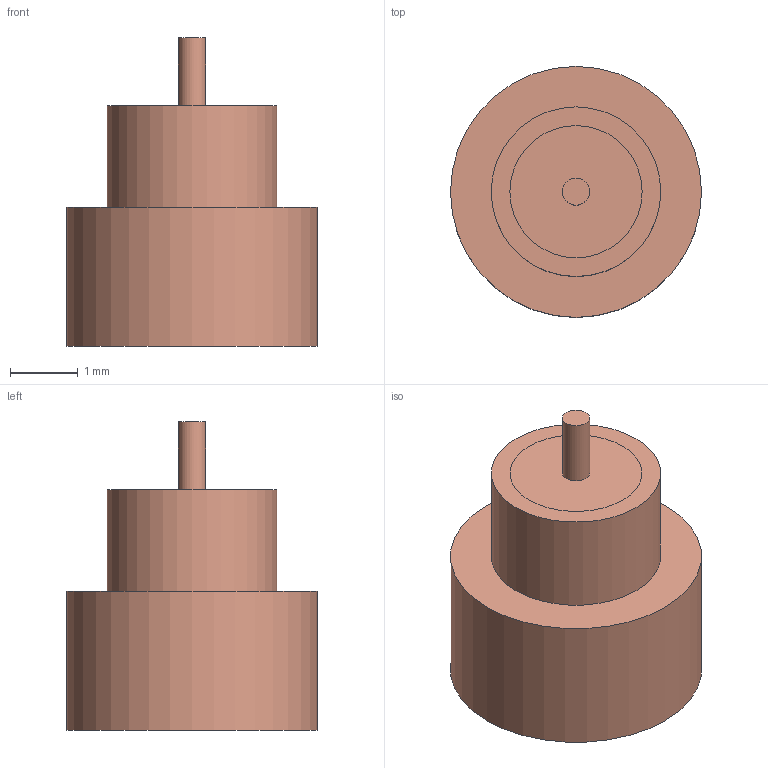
import cadquery as cq

base_diameter = 3.7
collar_diameter = 2.5
core_diameter = 1.95
pin_diameter = 0.4

base_height = 2.05
collar_height = 1.5
pin_length = 1.0

collar_top = base_height + collar_height


def cylinder(diameter, bottom, height):
    """Upright cylinder on the Z axis, starting at the given level."""
    return cq.Workplane("XY").workplane(offset=bottom).circle(diameter / 2).extrude(height)


def make_shell():
    """Stepped outer body with a blind bore in its collar for the core."""
    base = cylinder(base_diameter, 0, base_height)
    collar = cylinder(collar_diameter, base_height, collar_height)
    bore = cylinder(core_diameter, base_height, collar_height)
    return base.union(collar).cut(bore)


def make_core():
    """Core that fills the collar, flush with its top, carrying the centre pin."""
    core = cylinder(core_diameter, base_height, collar_height)
    pin = cylinder(pin_diameter, collar_top, pin_length)
    return core.union(pin)


result = make_shell().union(make_core(), clean=False)